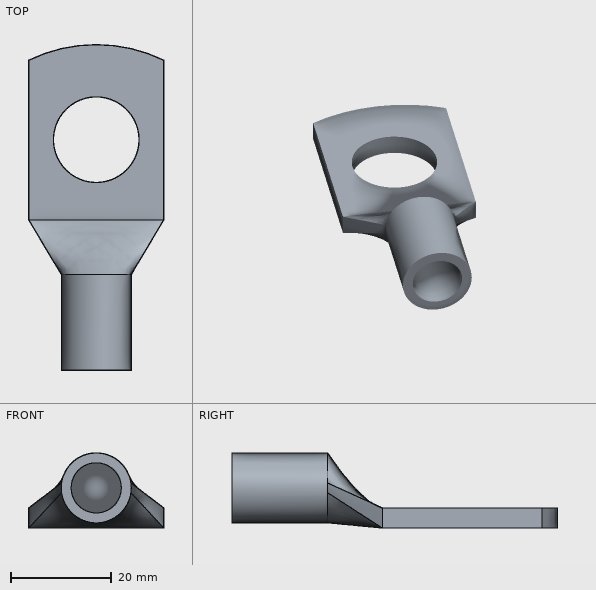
import cadquery as cq
import math

length = 65.0
width = 27.0
height = 15.0

palm_thickness = 4.0
tip_bow = 3.1
hole_diameter = 17.0
hole_from_tip = 19.0

barrel_diameter = 14.0
bore_diameter = 10.0
barrel_length = 19.1

neck_length = 10.9
side_angle = math.radians(8)
top_rise_power = 1.5
neck_steps = 4

half_width = width / 2
barrel_radius = barrel_diameter / 2
barrel_axis_z = height - barrel_radius
tip_y = length / 2
barrel_front_y = -length / 2
barrel_back_y = barrel_front_y + barrel_length
palm_start_y = barrel_back_y + neck_length


def blend(start, end, fraction):
    return start + (end - start) * fraction


def add_neck_section(sketch, fraction):
    """Draw the neck outline at a fraction of the way from palm to barrel.

    The corners and the side and bottom arcs change evenly along the neck, so
    they form straight lines; the top arc rises late, which hollows the top.
    """
    rim_corner_x = barrel_radius * math.cos(side_angle)
    rim_corner_rise = barrel_radius * math.sin(side_angle)
    corner_x = blend(half_width, rim_corner_x, fraction)
    side_x = blend(half_width, barrel_radius, fraction)
    low_z = blend(0, barrel_axis_z - rim_corner_rise, fraction)
    high_z = blend(palm_thickness, barrel_axis_z + rim_corner_rise, fraction)
    side_z = (low_z + high_z) / 2
    bottom_z = blend(0, barrel_axis_z - barrel_radius, fraction)
    top_z = blend(palm_thickness, height, fraction**top_rise_power)
    sketch = sketch.moveTo(corner_x, low_z)
    if fraction == 0:
        sketch = (
            sketch.lineTo(corner_x, high_z)
            .lineTo(-corner_x, high_z)
            .lineTo(-corner_x, low_z)
        )
    else:
        sketch = (
            sketch.threePointArc((side_x, side_z), (corner_x, high_z))
            .threePointArc((0, top_z), (-corner_x, high_z))
            .threePointArc((-side_x, side_z), (-corner_x, low_z))
            .threePointArc((0, bottom_z), (corner_x, low_z))
        )
    return sketch.close()


def make_palm():
    shoulder_y = tip_y - tip_bow
    plate = (
        cq.Workplane("XY")
        .moveTo(-half_width, palm_start_y)
        .lineTo(half_width, palm_start_y)
        .lineTo(half_width, shoulder_y)
        .threePointArc((0, tip_y), (-half_width, shoulder_y))
        .close()
        .extrude(palm_thickness)
    )
    hole = (
        cq.Workplane("XY")
        .center(0, tip_y - hole_from_tip)
        .circle(hole_diameter / 2)
        .extrude(palm_thickness)
    )
    return plate.cut(hole)


def make_neck():
    """Smooth loft through evenly spaced sections from the palm to the barrel."""
    sketch = cq.Workplane("XZ", origin=(0, palm_start_y, 0))
    sketch = add_neck_section(sketch, 0)
    for step in range(1, neck_steps + 1):
        sketch = sketch.workplane(offset=neck_length / neck_steps)
        sketch = add_neck_section(sketch, step / neck_steps)
    return sketch.loft()


def make_barrel():
    """Tube whose bore ends where the neck begins."""
    return (
        cq.Workplane("XZ", origin=(0, barrel_back_y, barrel_axis_z))
        .circle(barrel_radius)
        .circle(bore_diameter / 2)
        .extrude(barrel_length)
    )


result = make_palm().union(make_neck()).union(make_barrel())